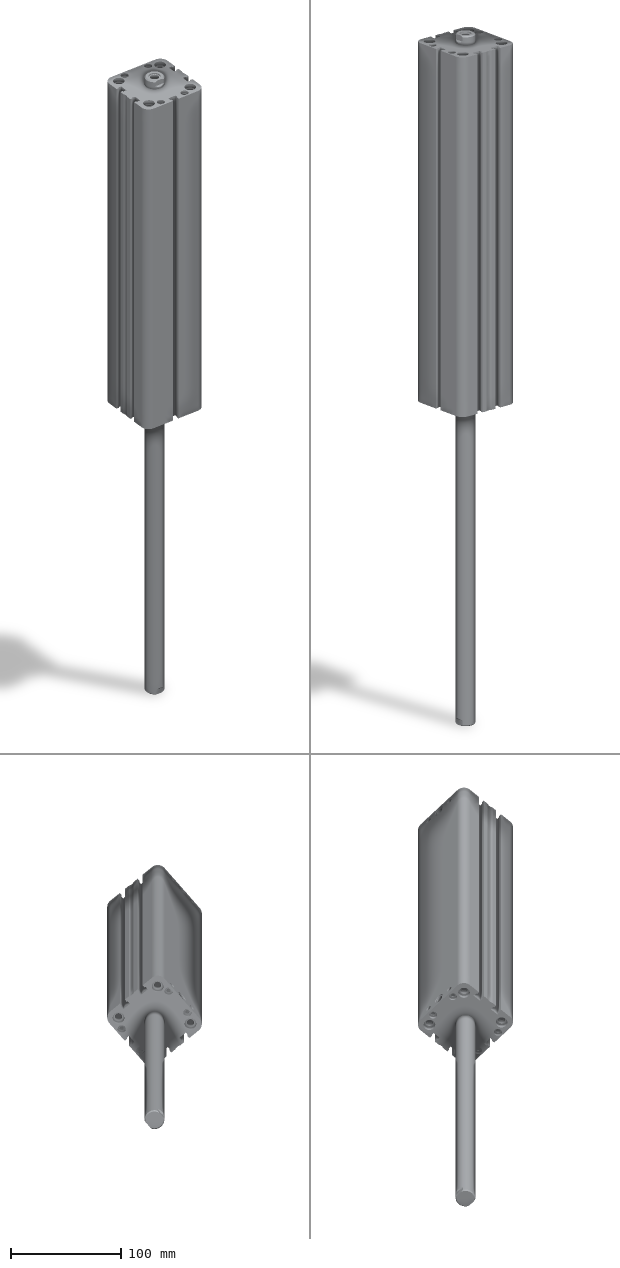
import cadquery as cq

total_length = 661.0
housing_bottom = 308.0
housing_top = 652.5
cap_height = 14.0
barrel_bottom = housing_bottom + cap_height
barrel_top = housing_top - cap_height

width = 65.5
half_width = width / 2
corner_radius = 8.0

slot_depth = 6.0
slot_opening = 6.0
slot_lip = 2.5
slot_undercut = 1.0
slot_offset = 10.5

groove_radius = 6.5
groove_depth = 0.5

corner_offset = 23.0
corner_mouth_diameter = 10.5
corner_mouth_depth = 4.0
corner_hole_diameter = 6.5
corner_hole_depth = 10.0

pin_hole_x = 28.0
pin_hole_y = 13.0
pin_hole_diameter = 7.0
pin_hole_depth = 2.5
pin_bore_diameter = 3.5
pin_bore_depth = 4.0

port_mouth_diameter = 10.5
port_mouth_depth = 0.5
port_diameter = 7.0
port_depth = 5.0
side_hole_offset = 14.0
side_hole_diameter = 5.2
side_hole_depth = 2.5
side_bore_diameter = 3.5
side_bore_depth = 4.0

rod_diameter = 18.0
rod_chamfer = 1.0
flat_distance = 15.0
flat_length = 5.0
rod_hole_mouth_diameter = 10.5
rod_hole_mouth_depth = 1.0
rod_hole_diameter = 8.5
rod_hole_depth = 12.0


def slot_cutter(bottom, height):
    """T-slot in the middle of the +Y side."""
    floor_y = half_width - slot_depth
    mouth = (
        cq.Workplane("XY", origin=(0, half_width, bottom))
        .rect(slot_opening, 2 * slot_depth)
        .extrude(height)
    )
    undercut_depth = slot_depth - slot_lip
    undercut = (
        cq.Workplane("XY", origin=(0, floor_y + undercut_depth / 2, bottom))
        .rect(slot_opening + 2 * slot_undercut, undercut_depth)
        .extrude(height)
    )
    return mouth.union(undercut)


def profile_block(bottom, height):
    """Slice of the slotted square housing, with the hole for the rod."""
    block = cq.Workplane("XY", origin=(0, 0, bottom)).rect(width, width).extrude(height)
    block = block.edges("|Z").fillet(corner_radius)
    slot = slot_cutter(bottom, height)
    for x in (-slot_offset, slot_offset):
        y_slot = slot.translate((x, 0, 0))
        block = block.cut(y_slot).cut(y_slot.mirror("XZ"))
    block = block.cut(slot.rotate((0, 0, 0), (0, 0, 1), -90))
    groove_y = half_width + groove_radius - groove_depth
    grooves = (
        cq.Workplane("XY", origin=(0, 0, bottom))
        .pushPoints([(0, groove_y), (0, -groove_y)])
        .circle(groove_radius)
        .extrude(height)
    )
    rod_bore = cq.Workplane("XY", origin=(0, 0, bottom)).circle(rod_diameter / 2).extrude(height)
    return block.cut(grooves).cut(rod_bore)


def make_cap():
    """Upper end cap; the lower one is its mirror image."""
    cap = profile_block(barrel_top, cap_height)
    cap = (
        cap.faces(">Z").workplane(origin=(0, 0, housing_top))
        .rect(2 * corner_offset, 2 * corner_offset, forConstruction=True)
        .vertices()
        .cboreHole(corner_hole_diameter, corner_mouth_diameter, corner_mouth_depth, corner_hole_depth)
    )
    cap = (
        cap.faces(">Z").workplane(origin=(0, 0, housing_top))
        .rect(2 * pin_hole_x, 2 * pin_hole_y, forConstruction=True)
        .vertices()
        .cboreHole(pin_bore_diameter, pin_hole_diameter, pin_hole_depth, pin_bore_depth)
    )
    port_z = housing_top - cap_height / 2
    cap = (
        cap.faces("<X").workplane(origin=(-half_width, 0, port_z))
        .cboreHole(port_diameter, port_mouth_diameter, port_mouth_depth, port_depth)
    )
    return (
        cap.faces("<X").workplane(origin=(-half_width, 0, port_z))
        .pushPoints([(-side_hole_offset, 0), (side_hole_offset, 0)])
        .cboreHole(side_bore_diameter, side_hole_diameter, side_hole_depth, side_bore_depth)
    )


def make_rod():
    """Through rod with wrench flats at both ends and a threaded-hole bore in its upper end."""
    rod = cq.Workplane("XY").circle(rod_diameter / 2).extrude(total_length)
    rod = rod.faces("<Z or >Z").chamfer(rod_chamfer)
    flat_x = flat_distance / 2
    cut_depth = rod_diameter / 2 - flat_x
    flat_cut = (
        cq.Workplane("XZ")
        .moveTo(flat_x, 0)
        .lineTo(flat_x, flat_length)
        .lineTo(flat_x + cut_depth, flat_length + cut_depth)
        .lineTo(flat_x + cut_depth, 0)
        .close()
        .extrude(rod_diameter / 2, both=True)
    )
    flat_cuts = flat_cut.union(flat_cut.mirror("YZ"))
    rod = rod.cut(flat_cuts).cut(flat_cuts.mirror("XY", (0, 0, total_length / 2)))
    return (
        rod.faces(">Z").workplane(origin=(0, 0, total_length))
        .cboreHole(rod_hole_diameter, rod_hole_mouth_diameter, rod_hole_mouth_depth, rod_hole_depth)
    )


barrel = profile_block(barrel_bottom, barrel_top - barrel_bottom)
upper_cap = make_cap()
lower_cap = upper_cap.mirror("XY", (0, 0, (housing_bottom + housing_top) / 2))
rod = make_rod()

result = cq.Compound.makeCompound([barrel.val(), upper_cap.val(), lower_cap.val(), rod.val()])